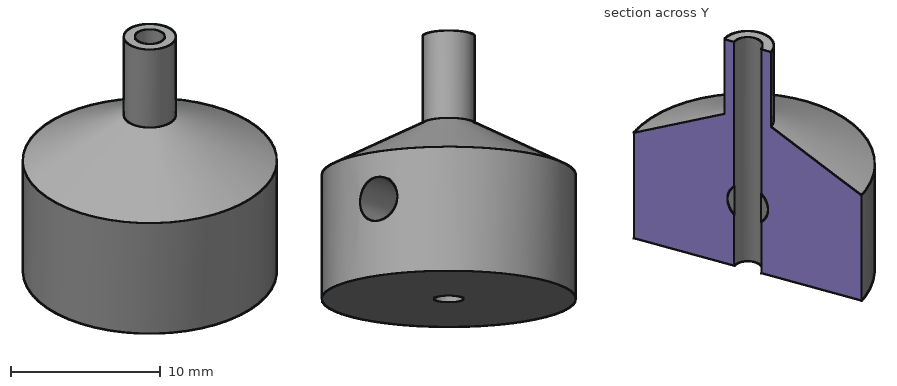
import cadquery as cq

body_diameter = 17.0
neck_diameter = 3.5
bore_diameter = 2.0
total_height = 18.0
body_height = 8.5
neck_height = 6.0
side_hole_diameter = 3.0
side_hole_height = 5.25

body_radius = body_diameter / 2
neck_radius = neck_diameter / 2
shoulder_height = total_height - neck_height


def funnel_blank():
    """Solid of revolution: cylindrical body, conical shoulder and narrow neck."""
    return (
        cq.Workplane("XZ")
        .polyline([
            (0, 0),
            (body_radius, 0),
            (body_radius, body_height),
            (neck_radius, shoulder_height),
            (neck_radius, total_height),
            (0, total_height),
        ])
        .close()
        .revolve(360, (0, 0), (0, 1))
    )


def axial_bore():
    """Bore through the full height."""
    return cq.Workplane("XY").circle(bore_diameter / 2).extrude(total_height)


def side_hole():
    """Radial hole from the +Y side to the part axis, opening into the bore."""
    return (
        cq.Workplane("XZ")
        .center(0, side_hole_height)
        .circle(side_hole_diameter / 2)
        .extrude(-body_radius)
    )


result = funnel_blank().cut(axial_bore()).cut(side_hole())